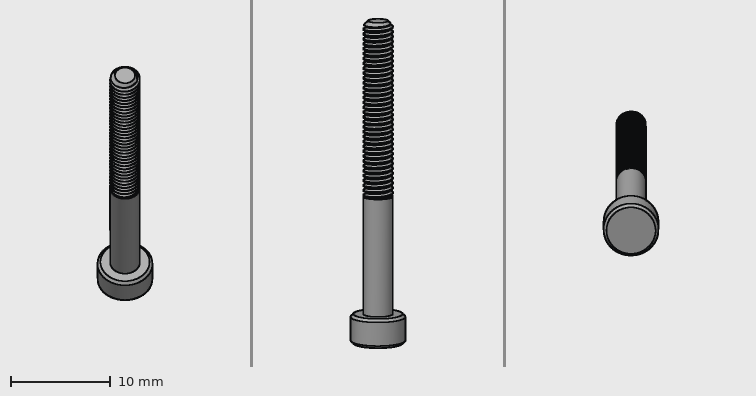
import cadquery as cq
import math

total_length = 33.0
head_diameter = 5.5
head_height = 3.0
head_chamfer = 0.3
shank_diameter = 3.0

thread_length = 18.0
thread_turns = 36
thread_pitch = thread_length / thread_turns
thread_depth = 0.33
crest_width = thread_pitch / 8
flank_angle = 30
first_crest_height = 0.35
tip_chamfer = 0.5

cutter_clearance = 0.03
overrun_turns = 2

shank_radius = shank_diameter / 2
thread_base = total_length - thread_length


def make_head():
    head = cq.Workplane("XY").circle(head_diameter / 2).extrude(head_height)
    return head.edges().chamfer(head_chamfer)


def make_rod(bottom, top):
    return cq.Workplane("XY", origin=(0, 0, bottom)).circle(shank_radius).extrude(top - bottom)


def groove_profile():
    """Corners of the groove section as (radius, height from the groove centre)."""
    flank_slope = math.tan(math.radians(flank_angle))
    crest_half = (thread_pitch - crest_width) / 2
    root_half = crest_half - thread_depth * flank_slope
    outer_half = crest_half + cutter_clearance * flank_slope
    root_radius = shank_radius - thread_depth
    outer_radius = shank_radius + cutter_clearance
    return [
        (root_radius, -root_half),
        (outer_radius, -outer_half),
        (outer_radius, outer_half),
        (root_radius, root_half),
    ]


def groove_turn(profile, height):
    """Helical faces of one right-hand turn, one face for each side of the profile."""
    helices = [
        cq.Wire.makeHelix(thread_pitch, thread_pitch, radius, cq.Vector(0, 0, height + offset))
        for radius, offset in profile
    ]
    faces = []
    for lower, upper in zip(helices, helices[1:] + helices[:1]):
        faces += cq.Face.makeRuledSurface(lower, upper).Faces()
    return faces


def groove_end(profile, height):
    corners = [cq.Vector(radius, 0, height + offset) for radius, offset in profile]
    return cq.Face.makeFromWires(cq.Wire.makePolygon(corners, close=True))


def make_groove():
    """Solid that fills the thread groove, running past both ends of the thread."""
    profile = groove_profile()
    turns = thread_turns + 2 * overrun_turns
    start = thread_base + first_crest_height - (overrun_turns + 0.5) * thread_pitch
    faces = [groove_end(profile, start), groove_end(profile, start + turns * thread_pitch)]
    for turn in range(turns):
        faces += groove_turn(profile, start + turn * thread_pitch)
    return cq.Workplane(cq.Solid.makeSolid(cq.Shell.makeShell(faces)))


def make_threaded_rod():
    rod = make_rod(thread_base, total_length).faces(">Z").chamfer(tip_chamfer)
    return rod.cut(make_groove())


head = make_head()
shank = make_rod(head_height, thread_base)
result = head.union(shank).union(make_threaded_rod())